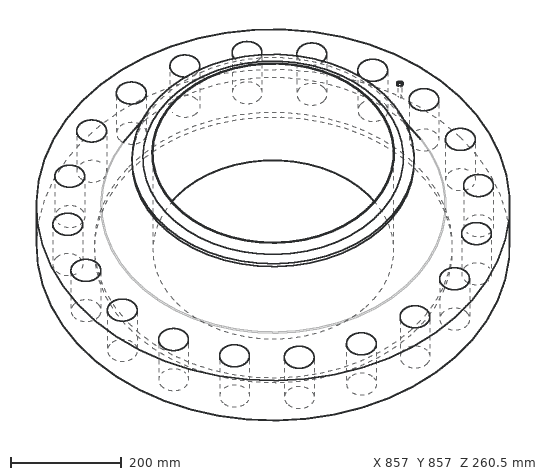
import cadquery as cq
import math

flange_diameter = 857.0
flange_thickness = 108.0
raised_face_diameter = 648.0
raised_face_height = 13.0
overall_height = 260.5

bore_diameter = 435.0
hub_base_diameter = 622.0
hub_base_fillet = 2.5
hub_land_diameter = 511.0
hub_land_height = 8.0
root_face_width = 2.0

steep_bevel_angle = 37.5
shallow_bevel_angle = 10.0
bevel_break_diameter = 471.0

bolt_count = 20
bolt_circle_diameter = 749.0
bolt_hole_diameter = 54.0

small_hole_diameter = 7.0
small_hole_depth = 34.0
small_counterbore_diameter = 12.0
small_counterbore_depth = 2.5

flange_top = raised_face_height + flange_thickness
bore_radius = bore_diameter / 2
root_radius = bore_radius + root_face_width
break_radius = bevel_break_diameter / 2
land_radius = hub_land_diameter / 2
break_z = overall_height - (break_radius - root_radius) * math.tan(math.radians(steep_bevel_angle))
land_top = break_z - (land_radius - break_radius) * math.tan(math.radians(shallow_bevel_angle))
land_bottom = land_top - hub_land_height
bolt_pitch_angle = 360 / bolt_count


def revolved_body():
    """Raised face, flange, tapered hub and weld bevel, with the foot of the hub filleted."""
    half_section = [
        (bore_radius, 0),
        (raised_face_diameter / 2, 0),
        (raised_face_diameter / 2, raised_face_height),
        (flange_diameter / 2, raised_face_height),
        (flange_diameter / 2, flange_top),
        (hub_base_diameter / 2, flange_top),
        (land_radius, land_bottom),
        (land_radius, land_top),
        (break_radius, break_z),
        (root_radius, overall_height),
        (bore_radius, overall_height),
    ]
    profile = cq.Workplane("XZ").polyline(half_section).close()
    body = profile.revolve(360, (0, 0, 0), (0, 1, 0))
    flange_top_face = body.faces("+Z").faces("<Z")
    hub_foot = flange_top_face.edges(cq.selectors.RadiusNthSelector(0))
    return hub_foot.fillet(hub_base_fillet)


def bolt_holes():
    """Through holes, evenly spaced with one on the +X axis."""
    return (
        cq.Workplane("XY")
        .polarArray(bolt_circle_diameter / 2, 0, 360, bolt_count)
        .circle(bolt_hole_diameter / 2)
        .extrude(flange_top)
    )


def flange_top_plug(diameter, depth):
    """Round cutter sunk into the flange top, midway between the +Y bolt hole and its -X neighbour."""
    return (
        cq.Workplane("XY", origin=(0, 0, flange_top))
        .polarArray(bolt_circle_diameter / 2, 90 + bolt_pitch_angle / 2, 360, 1)
        .circle(diameter / 2)
        .extrude(-depth)
    )


small_hole = flange_top_plug(small_hole_diameter, small_hole_depth)
small_counterbore = flange_top_plug(small_counterbore_diameter, small_counterbore_depth)

result = revolved_body().cut(bolt_holes()).cut(small_hole).cut(small_counterbore)